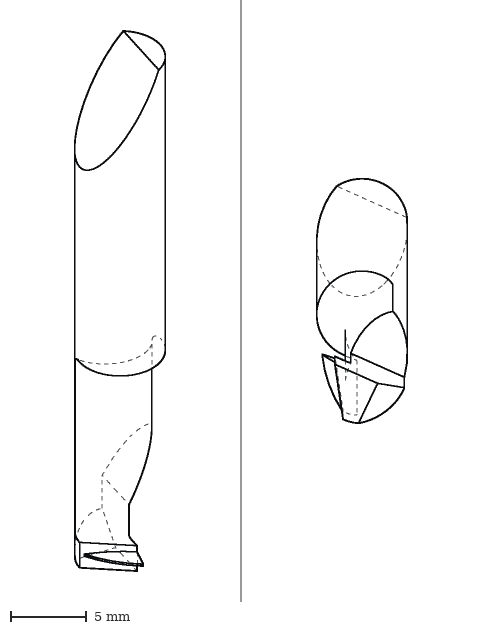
import cadquery as cq
import math

length = 40
radius = 3.0
bevel_angle = 30
top_flat_y = 1.55
margin = 4

head_height = 2.05
neck_top = 16.5
neck_right_x = 0.9
neck_center_x = -2.2
neck_radius = neck_right_x - neck_center_x
neck_top_fillet = 0.6
neck_bottom_fillet = 0.25

rake_y = 0.2
rake_top = 4.6
corner_chamfer = 1.95
head_right_x = 2.1
relief_end_x = 0

tooth_z = 1.05
tooth_root_width = 1.05
tooth_crest_width = 0.15
tooth_run_out_x = 0.15
crest_arch = 0.25


def extrude_along_x(points):
    """Prism of a YZ outline, spanning the whole shank width."""
    half_width = radius + margin
    return cq.Workplane("YZ").polyline(points).close().extrude(half_width, both=True)


def make_top_bevel():
    front_y = -radius - margin
    drop = (top_flat_y - front_y) / math.tan(math.radians(bevel_angle))
    return extrude_along_x([(top_flat_y, length), (front_y, length), (front_y, length - drop)])


def make_rake_cut():
    back_y = radius + margin
    rise = (back_y - rake_y) / math.tan(math.radians(bevel_angle))
    return extrude_along_x([(rake_y, 0), (back_y, 0), (back_y, rake_top + rise), (rake_y, rake_top)])


def make_neck_cut():
    """Ring around the neck, with rounded inner corners."""
    outer_radius = neck_radius + 2 * radius
    ring = (
        cq.Workplane("XY", origin=(neck_center_x, 0, head_height))
        .circle(outer_radius)
        .circle(neck_radius)
        .extrude(neck_top - head_height)
    )
    inner_edge = cq.selectors.RadiusNthSelector(0)
    ring = ring.faces(">Z").edges(inner_edge).fillet(neck_top_fillet)
    return ring.faces("<Z").edges(inner_edge).fillet(neck_bottom_fillet)


def make_corner_chamfer():
    points = [(-radius, 0), (corner_chamfer - radius, 0), (-radius, corner_chamfer)]
    return cq.Workplane("XZ").polyline(points).close().extrude(radius + margin, both=True)


def make_relief_cut():
    """Space beside the head, bounded by the sloping relief plane."""
    points = [
        (relief_end_x, -radius),
        (radius + margin, -radius),
        (radius + margin, rake_y),
        (head_right_x, rake_y),
    ]
    return cq.Workplane("XY").polyline(points).close().extrude(head_height)


def make_bar():
    bar = cq.Workplane("XY").circle(radius).extrude(length)
    bar = bar.cut(make_top_bevel()).cut(make_neck_cut())
    return bar.cut(make_rake_cut()).cut(make_corner_chamfer()).cut(make_relief_cut())


def make_tooth():
    """Part-ring of V section with an arched crest, trimmed by the rake face and the relief plane."""
    run_out = (tooth_run_out_x - relief_end_x) / (head_right_x - relief_end_x)
    run_out_y = -radius + run_out * (rake_y + radius)
    chord_x = radius - tooth_run_out_x
    chord_y = rake_y - run_out_y
    chord = math.hypot(chord_x, chord_y)
    crest_radius = chord**2 / (8 * crest_arch) + crest_arch / 2
    center_offset = crest_radius - crest_arch
    center_x = (radius + tooth_run_out_x) / 2 - center_offset * chord_y / chord
    center_y = (rake_y + run_out_y) / 2 + center_offset * chord_x / chord

    half_crest = tooth_crest_width / 2
    radial_depth = (radius - head_right_x) * (radius - center_x) / crest_radius
    flank_slope = (tooth_root_width - tooth_crest_width) / 2 / radial_depth
    ring_depth = 2 * radial_depth
    half_base = half_crest + flank_slope * ring_depth
    section = [
        (crest_radius - ring_depth, -half_base),
        (crest_radius, -half_crest),
        (crest_radius, half_crest),
        (crest_radius - ring_depth, half_base),
    ]
    ring = cq.Workplane("XZ").polyline(section).close().revolve(360, (0, 0), (0, 1))
    return ring.translate((center_x, center_y, tooth_z)).intersect(make_relief_cut())


bar = make_bar()
tooth = make_tooth()

result = cq.Compound.makeCompound([bar.solids().val(), tooth.solids().val()])